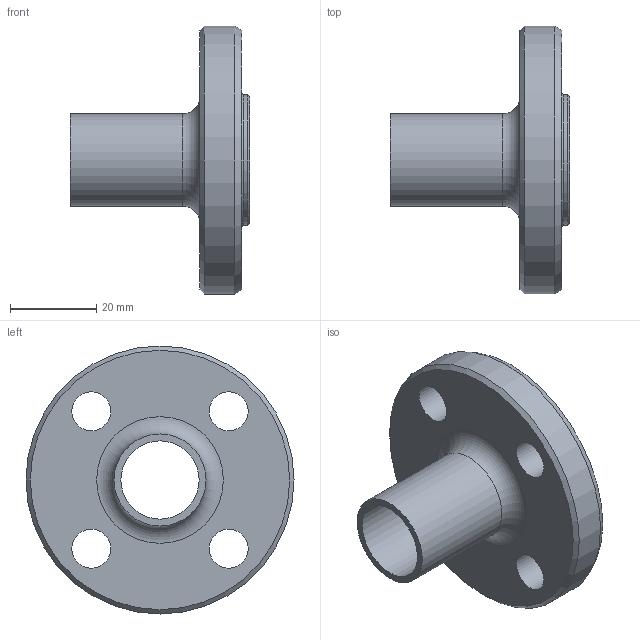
import cadquery as cq
import math

total_length = 41.5
pipe_diameter = 21.3
bore_diameter = 18.1

flange_diameter = 62.0
flange_back_x = 30.0
flange_front_x = 39.7
back_chamfer = 1.0
front_chamfer_drop = 1.0
front_chamfer_angle = 30.0
neck_fillet_radius = 4.0

spigot_diameter = 30.3
spigot_chamfer = 0.5
spigot_root_fillet = 0.3

bolt_hole_diameter = 9.0
bolt_circle_diameter = 45.0
bolt_count = 4
first_bolt_angle = 45.0

pipe_radius = pipe_diameter / 2
flange_radius = flange_diameter / 2
spigot_radius = spigot_diameter / 2
front_chamfer_length = front_chamfer_drop / math.tan(math.radians(front_chamfer_angle))
spigot_land_end_x = total_length - spigot_chamfer
spigot_land_start_x = flange_front_x + spigot_root_fillet
spigot_root_radius = spigot_radius + spigot_root_fillet


def revolved_body():
    """Pipe, neck fillet, flange and spigot turned about the X axis."""
    fillet_center_x = flange_back_x - neck_fillet_radius
    fillet_center_radius = pipe_radius + neck_fillet_radius
    fillet_middle = (
        fillet_center_x + neck_fillet_radius * math.sin(math.radians(45)),
        fillet_center_radius - neck_fillet_radius * math.cos(math.radians(45)),
    )
    root_fillet_middle = (
        spigot_land_start_x - spigot_root_fillet * math.sin(math.radians(45)),
        spigot_root_radius - spigot_root_fillet * math.cos(math.radians(45)),
    )
    return (
        cq.Workplane("XY")
        .moveTo(0, 0)
        .lineTo(0, pipe_radius)
        .lineTo(fillet_center_x, pipe_radius)
        .threePointArc(fillet_middle, (flange_back_x, fillet_center_radius))
        .lineTo(flange_back_x, flange_radius - back_chamfer)
        .lineTo(flange_back_x + back_chamfer, flange_radius)
        .lineTo(flange_front_x - front_chamfer_length, flange_radius)
        .lineTo(flange_front_x, flange_radius - front_chamfer_drop)
        .lineTo(flange_front_x, spigot_root_radius)
        .threePointArc(root_fillet_middle, (spigot_land_start_x, spigot_radius))
        .lineTo(spigot_land_end_x, spigot_radius)
        .lineTo(total_length, spigot_radius - spigot_chamfer)
        .lineTo(total_length, 0)
        .close()
        .revolve(360, (0, 0, 0), (1, 0, 0))
    )


def bore():
    """Straight bore through the whole part."""
    return cq.Workplane("YZ").circle(bore_diameter / 2).extrude(total_length)


def bolt_holes():
    """Equally spaced through holes on the bolt circle."""
    return (
        cq.Workplane("YZ", origin=(flange_back_x, 0, 0))
        .polarArray(bolt_circle_diameter / 2, first_bolt_angle, 360, bolt_count)
        .circle(bolt_hole_diameter / 2)
        .extrude(flange_front_x - flange_back_x)
    )


result = revolved_body().cut(bore()).cut(bolt_holes())